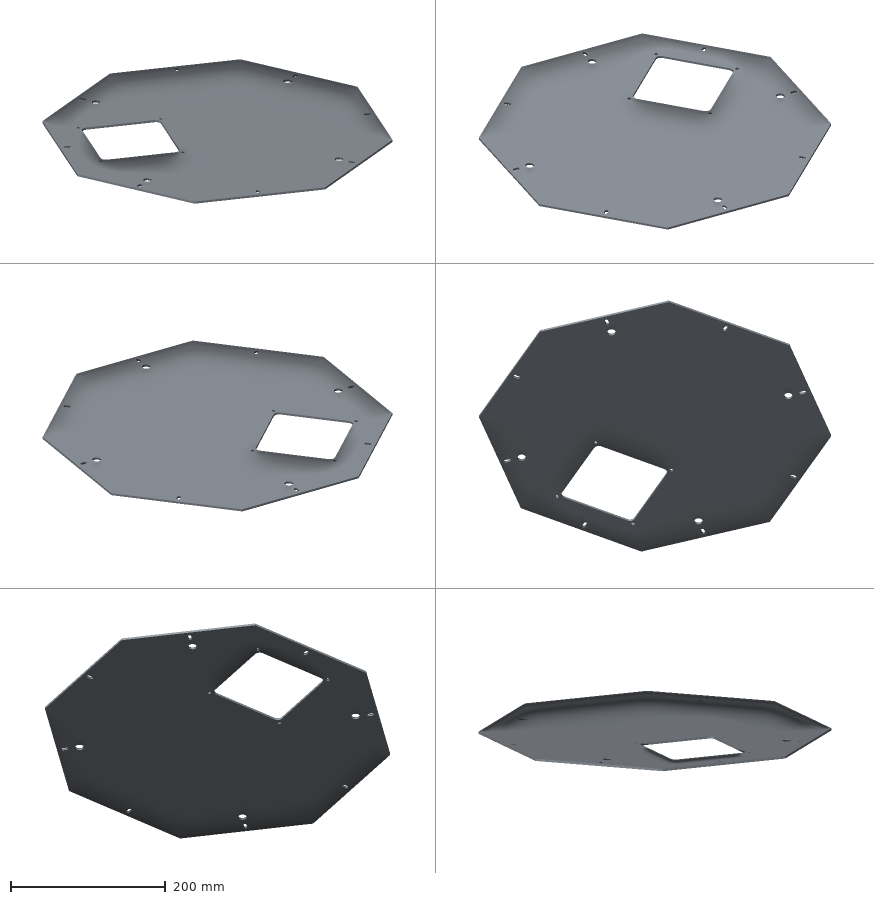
import cadquery as cq
import math

width = 422.0
thickness = 3.0
corner_angle = 45.0

slot_count = 8
slot_radius = 201.0
slot_length = 9.3
slot_width = 4.5

hole_diameter = 11.0
hole_spacing = 256.5

window_size = 105.5
window_corner_radius = 7.0
window_center_y = -116.0
screw_diameter = 4.5
screw_spacing = 110.0


def octagon_plate():
    """Regular octagon with flats facing +-X and +-Y, lying on Z = 0."""
    across_corners = width / math.cos(math.radians(corner_angle / 2))
    return (
        cq.Workplane("XY")
        .transformed(rotate=(0, 0, corner_angle / 2))
        .polygon(8, across_corners)
        .extrude(thickness)
    )


def radial_slots():
    """Slots whose long direction points at the plate center."""
    return (
        cq.Workplane("XY")
        .polarArray(slot_radius, 0, 360, slot_count)
        .slot2D(slot_length, slot_width)
        .extrude(thickness)
    )


def square_hole_pattern(spacing, diameter, center_y=0):
    """Four through holes at the corners of a square."""
    return (
        cq.Workplane("XY")
        .center(0, center_y)
        .rarray(spacing, spacing, 2, 2)
        .circle(diameter / 2)
        .extrude(thickness)
    )


def window():
    return (
        cq.Workplane("XY")
        .center(0, window_center_y)
        .rect(window_size, window_size)
        .extrude(thickness)
        .edges("|Z")
        .fillet(window_corner_radius)
    )


result = (
    octagon_plate()
    .cut(radial_slots())
    .cut(square_hole_pattern(hole_spacing, hole_diameter))
    .cut(window())
    .cut(square_hole_pattern(screw_spacing, screw_diameter, window_center_y))
)